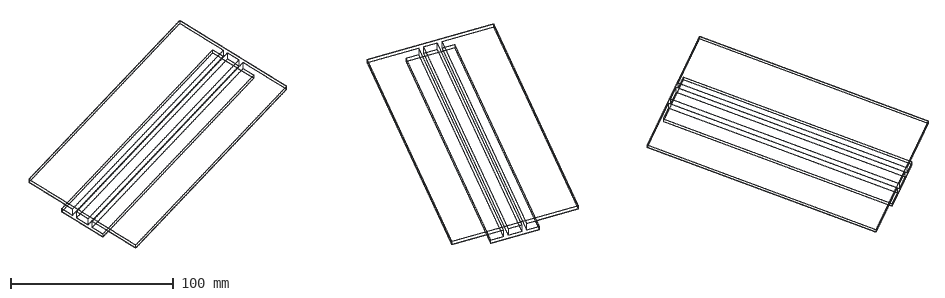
import cadquery as cq

length = 152.4
plate_width = 82.55
flange_width = 31.75
total_height = 12.7
wall = 3.175
web_outer_span = 15.24

web_height = total_height - 2 * wall
web_offset = (web_outer_span - wall) / 2


def bar(width, height, center_x, bottom_z):
    """Full-length rectangular bar, centred along Y."""
    return (
        cq.Workplane("XY")
        .box(width, length, height, centered=(True, True, False))
        .translate((center_x, 0, bottom_z))
    )


flange = bar(flange_width, wall, 0, 0)
plate = bar(plate_width, wall, 0, total_height - wall)

result = flange.union(plate)
for side in (-1, 1):
    result = result.union(bar(wall, web_height, side * web_offset, wall))